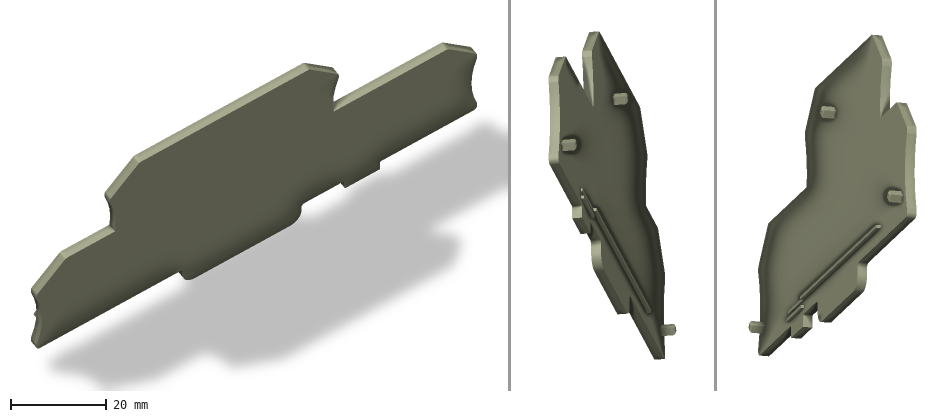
import cadquery as cq
import math

thickness = 2.1
end_y = 55.8
lower_top_z = 27.0
upper_left_y = 20.8
upper_right_y = -37.2
upper_top_z = 46.9
corner_cut = 7.5
corner_radius = 1.0

hollow_drop = 8.8
hollow_height = 16.3
hollow_depth = 1.5

tab_left_y = 11.3
tab_right_y = -18.6
tab_depth = 5.4
tab_radius = 3.0
tab_root_radius = 1.0
foot_left_y = 31.1
foot_right_y = 22.3
foot_depth = 2.7
foot_root_radius = 0.3

pin_length = 3.0
pin_diagonal = 2.6
pin_bevel = 0.3
end_pin_y = 52.0
end_pin_z = 5.2
upper_pin_y = -1.8
upper_pin_z = 37.4
pin_positions = [
    (end_pin_y, end_pin_z),
    (upper_pin_y, upper_pin_z),
    (-end_pin_y, end_pin_z),
]

rib_start_y = 32.4
upper_rib_step_y = 21.1
upper_rib_end_y = -36.3
rib_width = 0.7
upper_rib_z = 3.1
upper_rib_low_height = 0.3
upper_rib_high_height = 1.0
lower_rib_end_y = 21.3
lower_rib_z = 1.5
lower_rib_height = 0.7


def slab(left_y, right_y, bottom_z, top_z):
    """Rectangular piece of plate, full thickness."""
    block = cq.Workplane("XY").box(thickness, left_y - right_y, top_z - bottom_z, centered=False)
    return block.translate((-thickness, right_y, bottom_z))


def hollow_cutter(edge_y, inward, tier_top_z):
    """Cylinder that hollows a side edge; inward is the Y direction into the plate."""
    radius = ((hollow_height / 2) ** 2 + hollow_depth ** 2) / (2 * hollow_depth)
    center_y = edge_y + inward * (hollow_depth - radius)
    center_z = tier_top_z - hollow_drop - hollow_height / 2
    return (
        cq.Workplane("YZ")
        .center(center_y, center_z)
        .circle(radius)
        .extrude(-thickness)
    )


def tier(left_y, right_y, top_z):
    """Slab from the base line up, with cut top corners, rounded edges and hollow sides."""
    body = slab(left_y, right_y, 0, top_z)
    body = body.edges("|X and >Z").chamfer(corner_cut)
    body = body.edges("|X").fillet(corner_radius)
    body = body.cut(hollow_cutter(left_y, -1, top_z))
    return body.cut(hollow_cutter(right_y, 1, top_z))


def add_rooted(plate, hanger, left_y, right_y, root_radius):
    """Join a piece hanging from the base line, with a fillet at each of its roots."""
    joined = plate.union(hanger)
    for root_y in (left_y, right_y):
        root = cq.selectors.NearestToPointSelector((-thickness / 2, root_y, 0))
        joined = joined.edges("|X").edges(root).fillet(root_radius)
    return joined


def pin(y, z):
    """Square pin turned 45 degrees, rooted in the -X face of the plate."""
    side = pin_diagonal / math.sqrt(2)
    return (
        cq.Workplane("XY")
        .box(pin_length, side, side, centered=(False, True, True))
        .faces("<X")
        .chamfer(pin_bevel)
        .rotate((0, 0, 0), (1, 0, 0), 45)
        .translate((-thickness - pin_length, y, z))
    )


def rib(start_y, end_y, z, height):
    """Narrow raised strip along Y on the -X face."""
    strip = cq.Workplane("XY").box(
        height, start_y - end_y, rib_width, centered=(False, False, True)
    )
    return strip.translate((-thickness - height, end_y, z))


lower_tier = tier(end_y, -end_y, lower_top_z)
upper_tier = tier(upper_left_y, upper_right_y, upper_top_z)

tab = slab(tab_left_y, tab_right_y, -tab_depth, 0)
tab = tab.edges("|X and <Z").fillet(tab_radius)
foot = slab(foot_left_y, foot_right_y, -foot_depth, 0)

plate = lower_tier.union(upper_tier)
plate = add_rooted(plate, tab, tab_left_y, tab_right_y, tab_root_radius)
plate = add_rooted(plate, foot, foot_left_y, foot_right_y, foot_root_radius)

result = plate.union(rib(rib_start_y, upper_rib_step_y, upper_rib_z, upper_rib_low_height))
result = result.union(rib(upper_rib_step_y, upper_rib_end_y, upper_rib_z, upper_rib_high_height))
result = result.union(rib(rib_start_y, lower_rib_end_y, lower_rib_z, lower_rib_height))
for pin_y, pin_z in pin_positions:
    result = result.union(pin(pin_y, pin_z))